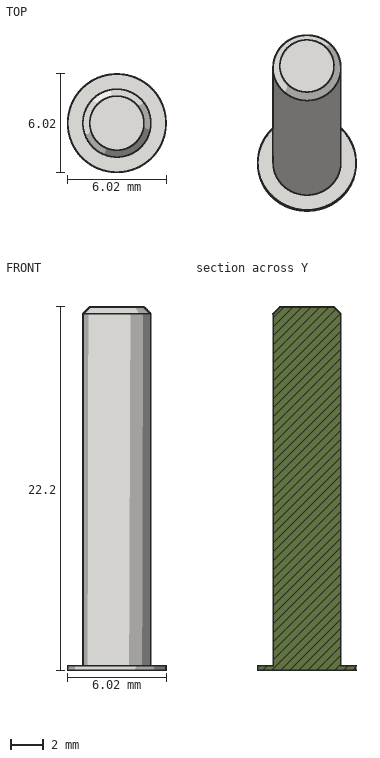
import cadquery as cq

total_height = 22.23
flange_diameter = 6.02
flange_thickness = 0.3
shaft_diameter = 4.15
tip_chamfer = 0.42

flange = cq.Workplane("XY").circle(flange_diameter / 2).extrude(flange_thickness)

shaft = (
    cq.Workplane("XY")
    .circle(shaft_diameter / 2)
    .extrude(total_height)
    .faces(">Z")
    .chamfer(tip_chamfer)
)

result = flange.union(shaft)